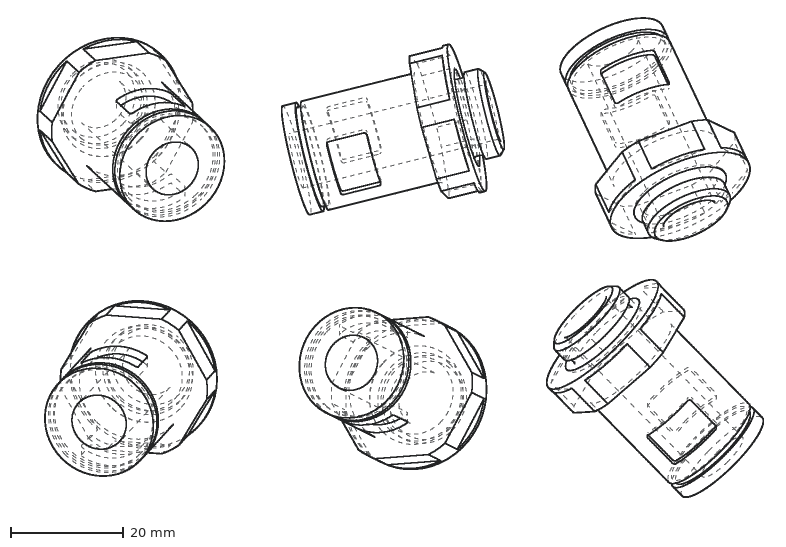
import cadquery as cq
import math

length = 36.5
bore_radius = 10.0 / 2
bore_rounding = 1.0

collar_radius = 16.0 / 2
neck_radius = 14.15 / 2
collar_bevel = collar_radius - neck_radius
collar_back_x = 3.43
neck_start_x = 4.2
neck_blend_length = 0.35
back_bevel_angle = math.radians(60)

flange_radius = 27 / 2
flange_front_x = 5.0
flange_back_x = 12.0
flats_start_x = 6.0
across_flats = 25.0
face_groove_outer_radius = 17.85 / 2

sleeve_radius = 20.0 / 2
sleeve_root_fillet = 0.4
ring_groove_radius = 18.3 / 2
ring_groove_start_x = 33.0
ring_groove_width = 1.02

pocket_start_x = 22.2
pocket_length = 7.37
pocket_width = 10.48
pocket_corner_radius = 0.47
pocket_floor_radius = 8.58


def cylinder(start_x, end_x, radius):
    return cq.Workplane("YZ", origin=(start_x, 0, 0)).circle(radius).extrude(end_x - start_x)


def turned_body():
    """Revolved section, including the bore, the neck blend and the half-round face groove."""
    blend_radius = neck_blend_length / math.sin(back_bevel_angle)
    blend_drop = blend_radius * (1 - math.cos(back_bevel_angle))
    blend_middle = (
        neck_start_x - blend_radius * math.sin(back_bevel_angle / 2),
        neck_radius + blend_radius * (1 - math.cos(back_bevel_angle / 2)),
    )
    groove_radius = (face_groove_outer_radius - neck_radius) / 2
    groove_middle = (flange_front_x + groove_radius, neck_radius + groove_radius)
    bore_edge_middle = (
        bore_rounding * (1 - math.sqrt(0.5)),
        bore_radius + bore_rounding * (1 - math.sqrt(0.5)),
    )
    root_offset = sleeve_root_fillet * (1 - math.sqrt(0.5))
    ring_groove_end_x = ring_groove_start_x + ring_groove_width
    section = (
        cq.Workplane("XY")
        .moveTo(bore_rounding, bore_radius)
        .threePointArc(bore_edge_middle, (0, bore_radius + bore_rounding))
        .lineTo(0, neck_radius)
        .lineTo(collar_bevel, collar_radius)
        .lineTo(collar_back_x, collar_radius)
        .lineTo(neck_start_x - neck_blend_length, neck_radius + blend_drop)
        .threePointArc(blend_middle, (neck_start_x, neck_radius))
        .lineTo(flange_front_x, neck_radius)
        .threePointArc(groove_middle, (flange_front_x, face_groove_outer_radius))
        .lineTo(flange_front_x, flange_radius)
        .lineTo(flange_back_x, flange_radius)
        .lineTo(flange_back_x, sleeve_radius + sleeve_root_fillet)
        .threePointArc(
            (flange_back_x + root_offset, sleeve_radius + root_offset),
            (flange_back_x + sleeve_root_fillet, sleeve_radius),
        )
        .lineTo(ring_groove_start_x, sleeve_radius)
        .lineTo(ring_groove_start_x, ring_groove_radius)
        .lineTo(ring_groove_end_x, ring_groove_radius)
        .lineTo(ring_groove_end_x, sleeve_radius)
        .lineTo(length, sleeve_radius)
        .lineTo(length, bore_radius)
        .close()
    )
    return section.revolve(360, (0, 0, 0), (1, 0, 0))


def hexagon_flats():
    """Material outside the hexagon, whose flats include the +Z and -Z faces."""
    across_corners = across_flats / math.cos(math.pi / 6)
    hexagon = (
        cq.Workplane("YZ", origin=(flats_start_x, 0, 0))
        .polygon(6, across_corners)
        .extrude(flange_back_x - flats_start_x)
    )
    return cylinder(flats_start_x, flange_back_x, 2 * flange_radius).cut(hexagon)


def sleeve_pockets():
    """One rounded block through the sleeve, hollowed to leave both concentric pocket floors."""
    pocket_end_x = pocket_start_x + pocket_length
    block = (
        cq.Workplane("XY", origin=((pocket_start_x + pocket_end_x) / 2, 0, 0))
        .rect(pocket_length, pocket_width)
        .extrude(flange_radius, both=True)
        .edges("|Z")
        .fillet(pocket_corner_radius)
    )
    return block.cut(cylinder(pocket_start_x, pocket_end_x, pocket_floor_radius))


result = turned_body().cut(hexagon_flats()).cut(sleeve_pockets())